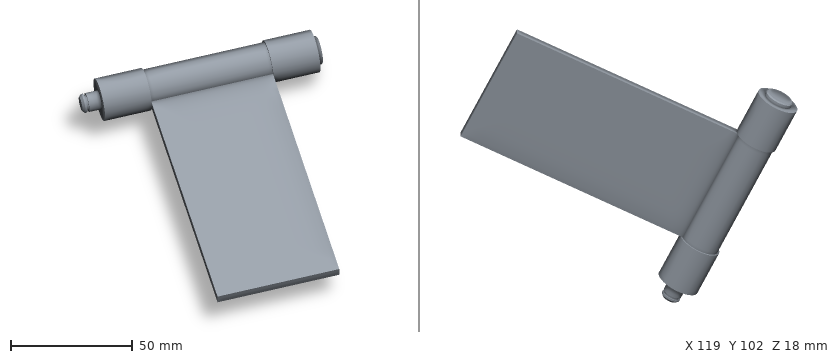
import cadquery as cq


knuckle_diameter = 18.0
knuckle_length = 20.0

barrel_diameter = 16.4
leaf_length = 52.0
plate_thickness = 4.0
overall_width = 119.0
plate_end_x = overall_width - knuckle_diameter / 2

pin_diameter = 8.0
head_diameter = 12.0
head_height = 2.0
head_chamfer = 0.5
tail_length = 8.0
tip_chamfer = 1.0
groove_offset = 5.2
groove_width = 1.0
groove_depth = 0.7

back_face_y = leaf_length / 2 + knuckle_length
front_face_y = -back_face_y


def cylinder_along_y(diameter, start_y, length):
    """Solid cylinder on the pin axis, running from start_y toward +Y."""
    base = cq.Workplane("XZ", origin=(0, start_y, 0))
    return base.circle(diameter / 2).extrude(-length)


def make_knuckle(start_y):
    """Sleeve with a through bore for the pin."""
    sleeve = cylinder_along_y(knuckle_diameter, start_y, knuckle_length)
    return sleeve.cut(cylinder_along_y(pin_diameter, start_y, knuckle_length))


def make_leaf():
    """Flat plate growing out of a bored barrel."""
    start_y = -leaf_length / 2
    barrel = cylinder_along_y(barrel_diameter, start_y, leaf_length)
    plate = cq.Workplane("XY").box(
        plate_end_x, leaf_length, plate_thickness, centered=(False, True, True)
    )
    bore = cylinder_along_y(pin_diameter, start_y, leaf_length)
    return barrel.union(plate).cut(bore)


def make_pin():
    """Headed pin with a chamfered tip and a retaining-ring groove in its tail."""
    tip_y = front_face_y - tail_length
    shank = cylinder_along_y(pin_diameter, tip_y, back_face_y - tip_y)
    shank = shank.faces("<Y").chamfer(tip_chamfer)

    head = cylinder_along_y(head_diameter, back_face_y, head_height)
    head = head.faces(">Y").chamfer(head_chamfer)

    groove_y = front_face_y - groove_offset - groove_width
    groove_floor_diameter = pin_diameter - 2 * groove_depth
    groove = cylinder_along_y(pin_diameter, groove_y, groove_width).cut(
        cylinder_along_y(groove_floor_diameter, groove_y, groove_width)
    )
    return shank.union(head).cut(groove)


knuckles = [make_knuckle(start_y) for start_y in (front_face_y, leaf_length / 2)]
leaf = make_leaf()
pin = make_pin()

result = cq.Compound.makeCompound(
    [leaf.val(), pin.val(), *[knuckle.val() for knuckle in knuckles]]
)